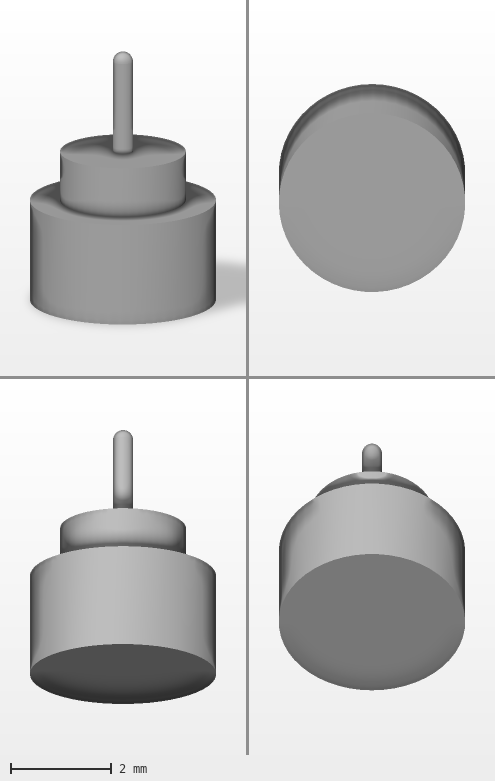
import cadquery as cq

total_height = 5.1
body_diameter = 3.7
body_height = 2.05
collar_diameter = 2.5
collar_height = 1.0
pin_diameter = 0.4

pin_radius = pin_diameter / 2
collar_top = body_height + collar_height
pin_shank_length = total_height - collar_top - pin_radius


def cylinder(diameter, height, base_z):
    """Upright cylinder on the Z axis, standing at base_z."""
    return cq.Workplane("XY").workplane(offset=base_z).circle(diameter / 2).extrude(height)


body = cylinder(body_diameter, body_height, 0)
collar = cylinder(collar_diameter, collar_height, body_height)

pin_shank = cylinder(pin_diameter, pin_shank_length, collar_top)
pin_tip = cq.Workplane("XY").sphere(pin_radius).translate((0, 0, collar_top + pin_shank_length))

result = body.union(collar).union(pin_shank).union(pin_tip)